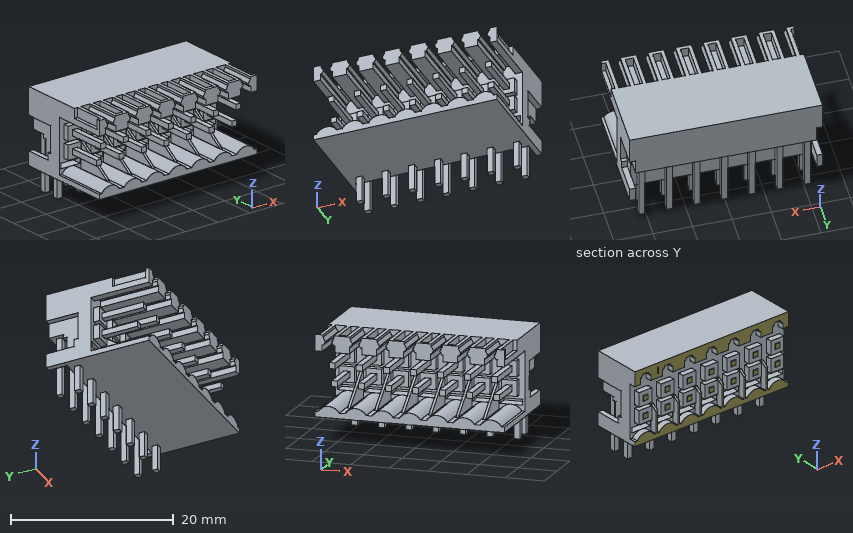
import cadquery as cq


LENGTH = 24.5
DEPTH = 14.2
HEIGHT = 10.5
POLES = 7
PITCH = LENGTH / POLES
POLE_CENTERS = [(i - (POLES - 1) / 2) * PITCH for i in range(POLES)]
POLE_BORDERS = [(i - POLES / 2) * PITCH for i in range(POLES + 1)]

WALL_Y = 8.0
FLOOR_TOP = 0.74
CREST_TOP = 1.5
RIDGE_WIDTH = 2.77
ROOF_THICKNESS = 2.13
ROOF_BOTTOM = HEIGHT - ROOF_THICKNESS

FINGER_ROOT_Y = 5.02
FINGER_POCKET_FRONT = 0.5
FINGER_POCKET_WIDTH = 1.03
FINGER_POCKET_DEPTH = 1.32
GROOVE_TOP_HALF = 0.7
GROOVE_STRAIGHT = 0.3
GROOVE_NECK_HALF = 0.4
GROOVE_NECK_DEPTH = 0.83
GROOVE_FLARE_HALF = 0.65
GROOVE_FLARE_DEPTH = 1.3
GROOVE_BOTTOM_HALF = 0.8

RIB_THICKNESS = 0.35
RIB_TOP = 4.5
RIB_TOE_Y = 2.65
KEY_WIDTH = 2.96
KEY_TOP = 2.23
KEY_DEPTH = 1.72

PIN = 0.78
PIN_BOTTOM = -3.48
COLLAR = 2.03
COLLAR_THICKNESS = 0.83
PIN_ROWS = [(6.27, 1.47, 13.08), (3.77, 2.3, 10.58)]

END_PLATE = 0.75
INNER_BACK_Y = 11.7
STEP_Y = 12.2
STEP_Z = 4.12
INNER_BOTTOM_Z = 4.63
RECESS_Y = 9.8
RECESS_TOP = 6.7
RECESS_STEP_Y = 10.31
RECESS_STEP_Z = 3.0
RAIL_TOP = 1.98


def block(x_center, width, y0, y1, z0, z1):
    """Box centred on x_center and bounded by the given Y and Z limits."""
    return cq.Workplane("XY").box(width, y1 - y0, z1 - z0).translate(
        (x_center, (y0 + y1) / 2, (z0 + z1) / 2)
    )


def side_prism(points, x_center, width):
    """Outline in (Y, Z) extruded along X, centred on x_center."""
    profile = cq.Workplane("YZ", origin=(x_center, 0, 0)).polyline(points).close()
    return profile.extrude(width / 2, both=True)


def front_prism(points, y0, y1):
    """Outline in (X, Z) extruded from y0 back to y1."""
    profile = cq.Workplane("XZ", origin=(0, y0, 0)).polyline(points).close()
    return profile.extrude(y0 - y1)


def make_housing():
    """C-shaped housing with a hollow for the solder legs and recessed ends."""
    body = block(0, LENGTH, 0, DEPTH, 0, HEIGHT)
    body = body.cut(block(0, LENGTH, 0, WALL_Y, FLOOR_TOP, ROOF_BOTTOM))

    leg_hollow = [
        (DEPTH, 0),
        (INNER_BACK_Y, 0),
        (INNER_BACK_Y, STEP_Z),
        (STEP_Y, STEP_Z),
        (STEP_Y, INNER_BOTTOM_Z),
        (DEPTH, INNER_BOTTOM_Z),
    ]
    body = body.cut(side_prism(leg_hollow, 0, LENGTH - 2 * END_PLATE))

    end_recess = [
        (DEPTH, RAIL_TOP),
        (RECESS_STEP_Y, RAIL_TOP),
        (RECESS_STEP_Y, RECESS_STEP_Z),
        (RECESS_Y, RECESS_STEP_Z),
        (RECESS_Y, RECESS_TOP),
        (DEPTH, RECESS_TOP),
    ]
    for side in (-1, 1):
        x_center = side * (LENGTH - END_PLATE) / 2
        body = body.cut(side_prism(end_recess, x_center, END_PLATE))
    return body


def upper_groove(x):
    """Tapered groove between two fingers, open to the roof top."""
    points = [
        (x - GROOVE_TOP_HALF, HEIGHT),
        (x - GROOVE_TOP_HALF, HEIGHT - GROOVE_STRAIGHT),
        (x - GROOVE_NECK_HALF, HEIGHT - GROOVE_NECK_DEPTH),
        (x + GROOVE_NECK_HALF, HEIGHT - GROOVE_NECK_DEPTH),
        (x + GROOVE_TOP_HALF, HEIGHT - GROOVE_STRAIGHT),
        (x + GROOVE_TOP_HALF, HEIGHT),
    ]
    return front_prism(points, 0, FINGER_ROOT_Y)


def lower_groove(x):
    """Flared channel under the neck, running back to the mating wall."""
    points = [
        (x - GROOVE_NECK_HALF, HEIGHT - GROOVE_NECK_DEPTH),
        (x - GROOVE_FLARE_HALF, HEIGHT - GROOVE_FLARE_DEPTH),
        (x - GROOVE_BOTTOM_HALF, HEIGHT - GROOVE_FLARE_DEPTH),
        (x - GROOVE_BOTTOM_HALF, ROOF_BOTTOM),
        (x + GROOVE_BOTTOM_HALF, ROOF_BOTTOM),
        (x + GROOVE_BOTTOM_HALF, HEIGHT - GROOVE_FLARE_DEPTH),
        (x + GROOVE_FLARE_HALF, HEIGHT - GROOVE_FLARE_DEPTH),
        (x + GROOVE_NECK_HALF, HEIGHT - GROOVE_NECK_DEPTH),
    ]
    return front_prism(points, 0, WALL_Y)


def finger_pocket(x):
    """Blind pocket in the top of a finger; the end fingers keep half of it."""
    return block(
        x, FINGER_POCKET_WIDTH, FINGER_POCKET_FRONT, FINGER_ROOT_Y, HEIGHT - FINGER_POCKET_DEPTH, HEIGHT
    )


def key_pocket(x):
    """Blind pocket in the mating wall just above the floor ridge."""
    return block(x, KEY_WIDTH, WALL_Y, WALL_Y + KEY_DEPTH, CREST_TOP, KEY_TOP)


def floor_ridge(x):
    """Rounded ridge along the floor below one pole."""
    profile = (
        cq.Workplane("XZ")
        .moveTo(x - RIDGE_WIDTH / 2, FLOOR_TOP)
        .threePointArc((x, CREST_TOP), (x + RIDGE_WIDTH / 2, FLOOR_TOP))
        .close()
    )
    return profile.extrude(-WALL_Y)


def rib(x):
    """Triangular rib between two poles, from the mating wall to the floor."""
    points = [(WALL_Y, FLOOR_TOP), (RIB_TOE_Y, FLOOR_TOP), (WALL_Y, RIB_TOP)]
    return side_prism(points, x, RIB_THICKNESS)


def angled_pin(x, contact_z, tip_y, leg_y):
    """Square pin bent once from contact to solder leg, with its collar."""
    half = PIN / 2
    contact = block(x, PIN, tip_y, leg_y + half, contact_z - half, contact_z + half)
    leg = block(x, PIN, leg_y - half, leg_y + half, PIN_BOTTOM, contact_z + half)
    collar = block(
        x, COLLAR, WALL_Y - COLLAR_THICKNESS, WALL_Y, contact_z - COLLAR / 2, contact_z + COLLAR / 2
    )
    return contact.union(leg).union(collar)


result = make_housing()

for pole_x in POLE_CENTERS:
    result = result.cut(upper_groove(pole_x)).cut(lower_groove(pole_x)).cut(key_pocket(pole_x))

for border_x in POLE_BORDERS:
    result = result.cut(finger_pocket(border_x))

for border_x in POLE_BORDERS[1:-1]:
    result = result.union(rib(border_x))

for pole_x in POLE_CENTERS:
    result = result.union(floor_ridge(pole_x))
    for contact_z, tip_y, leg_y in PIN_ROWS:
        result = result.union(angled_pin(pole_x, contact_z, tip_y, leg_y))